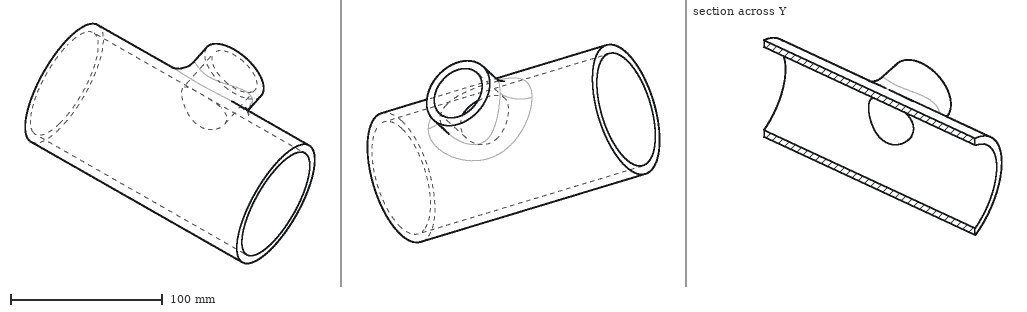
import cadquery as cq

run_length = 171.4
run_diameter = 89.0
wall = 5.8
branch_diameter = 48.2
branch_reach = 73.0
blend_radius = 15.5


def run_cylinder(diameter):
    """Cylinder along X, centred on the origin."""
    return cq.Workplane("YZ").circle(diameter / 2).extrude(run_length / 2, both=True)


def branch_cylinder(diameter):
    """Cylinder along +Y from the run axis to the branch end."""
    return cq.Workplane("XZ").circle(diameter / 2).extrude(-branch_reach)


def junction_edges(body):
    """Closed curve where the branch meets the run, without seams or end circles."""
    reach = branch_diameter / 2 + wall
    junction_zone = cq.selectors.BoxSelector(
        (-reach, 0, -reach), (reach, run_diameter / 2 + wall, reach), boundingbox=True
    )
    return body.edges(junction_zone)


outer = run_cylinder(run_diameter).union(branch_cylinder(branch_diameter))
outer = junction_edges(outer).fillet(blend_radius)

run_bore = run_cylinder(run_diameter - 2 * wall)
branch_bore = branch_cylinder(branch_diameter - 2 * wall)

result = outer.cut(run_bore).cut(branch_bore)